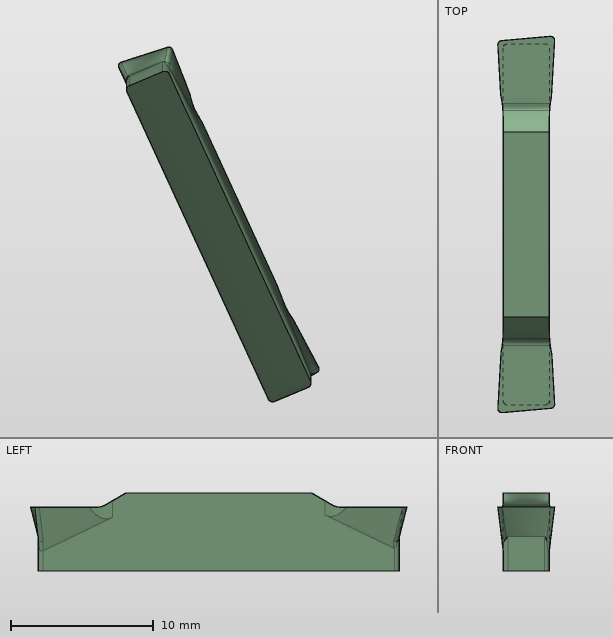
import cadquery as cq
import math

SHANK_WIDTH = 3.25
SHANK_LENGTH = 25.34
SHANK_CORNER_RADIUS = 0.35
HEIGHT = 5.5

RAKE_HEIGHT = 4.5
RIB_HALF_LENGTH = 6.49
RAMP_ANGLE = math.radians(30)
RAMP_FILLET = 1.0

TIP_WIDTH = 4.031
TIP_Y_LONG = 13.229
TIP_SLANT = math.radians(5)
TIP_CORNER_RADIUS = 0.3
RELIEF_EMERGE = 2.42
RELIEF_BOTTOM = 2.07
FLANK_BOTTOM = 1.0
FLANK_TAPER = math.tan(math.radians(3.23))
FLANK_RELIEF = math.tan(math.radians(6.66))

NECK_Y = 7.45
NECK_RADIUS = 7.7
NECK_CUT_LENGTH = 2.5
NECK_CUT_DEPTH = 1.0

half_shank = SHANK_WIDTH / 2
end_y = SHANK_LENGTH / 2
tip_y_short = TIP_Y_LONG - TIP_WIDTH * math.tan(TIP_SLANT)
reach = SHANK_LENGTH


def make_shank():
    shank = cq.Workplane("XY").box(SHANK_WIDTH, SHANK_LENGTH, HEIGHT, centered=(True, True, False))
    return shank.edges("|Z").fillet(SHANK_CORNER_RADIUS)


def make_side_profile():
    """Long block carrying the rake faces, the filleted ramps and the rib top."""
    drop = HEIGHT - RAKE_HEIGHT
    arc_drop = RAMP_FILLET * (1 - math.cos(RAMP_ANGLE))
    ramp_end_y = RIB_HALF_LENGTH + (drop - arc_drop) / math.tan(RAMP_ANGLE)
    rake_start_y = ramp_end_y + RAMP_FILLET * math.sin(RAMP_ANGLE)
    arc_mid_y = rake_start_y - RAMP_FILLET * math.sin(RAMP_ANGLE / 2)
    arc_mid_z = RAKE_HEIGHT + RAMP_FILLET * (1 - math.cos(RAMP_ANGLE / 2))
    return (
        cq.Workplane("YZ")
        .moveTo(-reach, 0)
        .lineTo(reach, 0)
        .lineTo(reach, RAKE_HEIGHT)
        .lineTo(rake_start_y, RAKE_HEIGHT)
        .threePointArc((arc_mid_y, arc_mid_z), (ramp_end_y, RAKE_HEIGHT + arc_drop))
        .lineTo(RIB_HALF_LENGTH, HEIGHT)
        .lineTo(-RIB_HALF_LENGTH, HEIGHT)
        .lineTo(-ramp_end_y, RAKE_HEIGHT + arc_drop)
        .threePointArc((-arc_mid_y, arc_mid_z), (-rake_start_y, RAKE_HEIGHT))
        .lineTo(-reach, RAKE_HEIGHT)
        .close()
        .extrude(TIP_WIDTH, both=True)
    )


def head_section(z):
    """Horizontal outline of the head at height z, with its two tip corners rounded."""
    relief_z = max(z, RELIEF_BOTTOM)
    relief_share = (relief_z - RELIEF_EMERGE) / (RAKE_HEIGHT - RELIEF_EMERGE)

    def half_width(y, tip_y):
        return TIP_WIDTH / 2 - (tip_y - y) * FLANK_TAPER - (RAKE_HEIGHT - z) * FLANK_RELIEF

    def front_y(tip_y):
        return end_y + (tip_y - end_y) * relief_share

    long_y = front_y(TIP_Y_LONG)
    short_y = front_y(tip_y_short)
    corners = [
        cq.Vector(-half_width(NECK_Y, tip_y_short), NECK_Y, z),
        cq.Vector(half_width(NECK_Y, TIP_Y_LONG), NECK_Y, z),
        cq.Vector(half_width(long_y, TIP_Y_LONG), long_y, z),
        cq.Vector(-half_width(short_y, tip_y_short), short_y, z),
    ]
    outline = cq.Wire.makePolygon(corners, close=True)
    tip_corners = [v for v in outline.Vertices() if v.Y > end_y - TIP_CORNER_RADIUS]
    return outline.fillet2D(TIP_CORNER_RADIUS, tip_corners)


def make_neck_cutter():
    """Cutter leaving a concave arc tangent to the +X side of the shank."""
    sweep = math.asin(NECK_CUT_LENGTH / NECK_RADIUS)

    def arc_point(angle):
        x = half_shank + NECK_RADIUS * (1 - math.cos(angle))
        return x, NECK_Y + NECK_RADIUS * math.sin(angle)

    outer_x = arc_point(sweep)[0] + NECK_CUT_DEPTH
    return (
        cq.Workplane("XY")
        .moveTo(*arc_point(0))
        .threePointArc(arc_point(sweep / 2), arc_point(sweep))
        .lineTo(outer_x, arc_point(sweep)[1])
        .lineTo(outer_x, NECK_Y)
        .close()
        .extrude(HEIGHT)
    )


def make_head():
    sections = [head_section(z) for z in (FLANK_BOTTOM, RELIEF_BOTTOM, HEIGHT)]
    head = cq.Workplane(cq.Solid.makeLoft(sections, True))
    cutter = make_neck_cutter()
    return head.cut(cutter).cut(cutter.mirror("YZ"))


head = make_head()
opposite_head = head.rotate((0, 0, 0), (0, 0, 1), 180)
result = make_shank().union(head).union(opposite_head).intersect(make_side_profile())